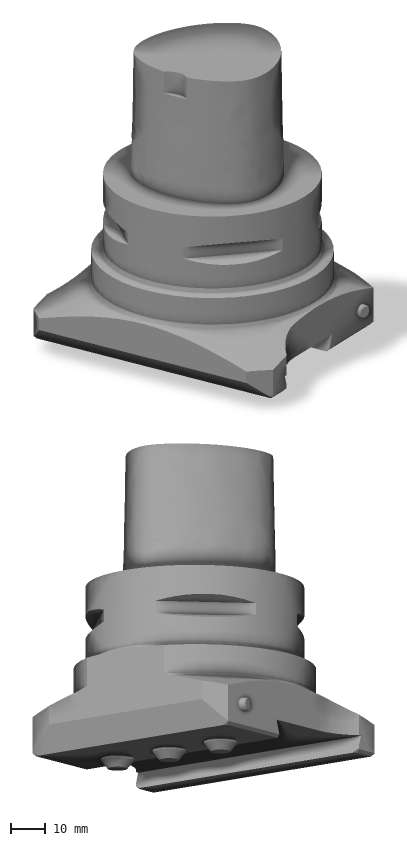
import cadquery as cq
import math

TOP_Z = 87.85
SHOULDER_Z = 49.8

BACK_Y = 31.9
FRONT_Y = -37.0
WIDE_HALF_X = 41.0
NARROW_HALF_X = 36.0
FRONT_CORNER = 5.5
BACK_CORNER_X = 7.9
BACK_CORNER_Y = 2.2
FLARE_START_Y = -12.4
FLARE_END_Y = -24.2
UNDERSIDE_CHAMFER = 0.9
FRONT_BEVEL = 5.8
BACK_BEVEL_Y = 2.45
BACK_BEVEL_Z = 8.0

BODY_R = 63.0 / 2
FLANGE_R = 34.9
LIP_R = 35.85
LIP_Z = 16.6
FLANGE_TOP_Z = 25.8
NECK_R = 32.3
NECK_Z = 26.4
NECK_HEIGHT = 0.9
CONE_OUTER_R = 59.0
CONE_ANGLE = 25.0

SHANK_BASE_R = 22.05
SHANK_TOP_R = 21.2
LOBE = 1.45
LOBE_SAMPLES = 48
NOTCH_R = 5.2
NOTCH_FLOOR_Y = -18.0
NOTCH_DEPTH = 6.7

GROOVE_COUNT = 4
GROOVE_Z = 37.9
GROOVE_FLOOR_R = 27.95
GROOVE_FLOOR_HEIGHT = 3.5
GROOVE_FLARE_ANGLE = 25.0
GROOVE_LENGTH = 40.8

SLOT_BACK_Y = 5.9
SLOT_FRONT_Y = -23.7
SLOT_DEPTH = 5.0
SLOT_UNDERCUT = 1.5

HEAD_DIAMETER = 9.5
HEAD_TIP_DIAMETER = 5.6
HEAD_HEIGHT = 90.75 - TOP_Z
HEAD_RIM = 0.5
HEAD_PITCH = 19.0
HEAD_Y = 11.9
PIN_DIAMETER = 4.0
PIN_TILT = 15.0
PIN_END_X = 38.1
PIN_END_CHAMFER = 0.4
PIN_Y = 22.6
PIN_Z = 6.8
PIN_LENGTH = 5.4

MARGIN = 4.5


def prism_along_x(points):
    """Extrude a closed (y, z) outline across the full width of the plate."""
    return cq.Workplane("YZ").polyline(points).close().extrude(WIDE_HALF_X + MARGIN, both=True)


def plate_blank():
    """Plate outline with clipped corners and concave flares towards its wide front."""
    flare_width = WIDE_HALF_X - NARROW_HALF_X
    flare_length = FLARE_START_Y - FLARE_END_Y
    flare_r = (flare_width**2 + flare_length**2) / (2 * flare_width)
    half_sweep = math.asin(flare_length / flare_r) / 2
    middle_x = NARROW_HALF_X + flare_r * (1 - math.cos(half_sweep))
    middle_y = FLARE_START_Y - flare_r * math.sin(half_sweep)
    return (
        cq.Workplane("XY")
        .moveTo(WIDE_HALF_X - FRONT_CORNER, FRONT_Y)
        .lineTo(WIDE_HALF_X, FRONT_Y + FRONT_CORNER)
        .lineTo(WIDE_HALF_X, FLARE_END_Y)
        .threePointArc((middle_x, middle_y), (NARROW_HALF_X, FLARE_START_Y))
        .lineTo(NARROW_HALF_X, BACK_Y - BACK_CORNER_Y)
        .lineTo(NARROW_HALF_X - BACK_CORNER_X, BACK_Y)
        .lineTo(-NARROW_HALF_X + BACK_CORNER_X, BACK_Y)
        .lineTo(-NARROW_HALF_X, BACK_Y - BACK_CORNER_Y)
        .lineTo(-NARROW_HALF_X, FLARE_START_Y)
        .threePointArc((-middle_x, middle_y), (-WIDE_HALF_X, FLARE_END_Y))
        .lineTo(-WIDE_HALF_X, FRONT_Y + FRONT_CORNER)
        .lineTo(-WIDE_HALF_X + FRONT_CORNER, FRONT_Y)
        .close()
        .extrude(SHOULDER_Z)
        .faces("<Z")
        .edges()
        .chamfer(UNDERSIDE_CHAMFER)
    )


def turned_profile():
    """Revolved body, flange and conical upper face of the plate."""
    cone_drop = (CONE_OUTER_R - LIP_R) * math.tan(math.radians(CONE_ANGLE))
    points = [
        (0, 0),
        (CONE_OUTER_R, 0),
        (CONE_OUTER_R, LIP_Z - cone_drop),
        (LIP_R, LIP_Z),
        (FLANGE_R, LIP_Z + LIP_R - FLANGE_R),
        (FLANGE_R, FLANGE_TOP_Z),
        (NECK_R, NECK_Z),
        (BODY_R, NECK_Z + NECK_HEIGHT),
        (BODY_R, SHOULDER_Z),
        (0, SHOULDER_Z),
    ]
    return cq.Workplane("XZ").polyline(points).close().revolve(360, (0, 0), (0, 1))


def underside_bevels():
    front = prism_along_x([
        (FRONT_Y - MARGIN, -MARGIN),
        (FRONT_Y + FRONT_BEVEL + MARGIN, -MARGIN),
        (FRONT_Y - MARGIN, FRONT_BEVEL + MARGIN),
    ])
    back = prism_along_x([
        (BACK_Y - BACK_BEVEL_Y, 0),
        (BACK_Y, BACK_BEVEL_Z),
        (BACK_Y + MARGIN, BACK_BEVEL_Z),
        (BACK_Y + MARGIN, 0),
    ])
    return front.union(back)


def dovetail_slot():
    return prism_along_x([
        (SLOT_BACK_Y, 0),
        (SLOT_BACK_Y + SLOT_UNDERCUT, SLOT_DEPTH),
        (SLOT_FRONT_Y - SLOT_UNDERCUT, SLOT_DEPTH),
        (SLOT_FRONT_Y, 0),
    ])


def grip_groove(angle):
    """Flat-floored groove with flaring walls, cut tangentially into the body."""
    outer_r = BODY_R + MARGIN
    floor_half = GROOVE_FLOOR_HEIGHT / 2
    flare = (outer_r - GROOVE_FLOOR_R) * math.tan(math.radians(GROOVE_FLARE_ANGLE))
    return (
        cq.Workplane("XZ")
        .polyline([
            (GROOVE_FLOOR_R, GROOVE_Z - floor_half),
            (outer_r, GROOVE_Z - floor_half - flare),
            (outer_r, GROOVE_Z + floor_half + flare),
            (GROOVE_FLOOR_R, GROOVE_Z + floor_half),
        ])
        .close()
        .extrude(GROOVE_LENGTH / 2, both=True)
        .rotate((0, 0, 0), (0, 0, 1), angle)
    )


def lobed_wire(mean_r, z):
    """Constant-width three-lobed curve with one lobe pointing to +Y."""
    points = []
    for i in range(LOBE_SAMPLES):
        t = 2 * math.pi * i / LOBE_SAMPLES
        x = -mean_r * math.sin(t) + LOBE * (2 * math.sin(2 * t) + math.sin(4 * t))
        y = mean_r * math.cos(t) + LOBE * (2 * math.cos(2 * t) - math.cos(4 * t))
        points.append(cq.Vector(x, y, z))
    return cq.Wire.assembleEdges([cq.Edge.makeSpline(points, periodic=True)])


def shank():
    base = lobed_wire(SHANK_BASE_R, SHOULDER_Z)
    top = lobed_wire(SHANK_TOP_R, TOP_Z)
    notch = (
        cq.Workplane("XY", origin=(0, NOTCH_FLOOR_Y - NOTCH_R, TOP_Z - NOTCH_DEPTH))
        .circle(NOTCH_R)
        .extrude(NOTCH_DEPTH)
    )
    return cq.Workplane(cq.Solid.makeLoft([base, top], True)).cut(notch)


def screw_head(x):
    """Short round rim with a conical tip below the plate."""
    rim_r = HEAD_DIAMETER / 2
    tip_r = HEAD_TIP_DIAMETER / 2
    return (
        cq.Workplane("XZ")
        .polyline([
            (0, UNDERSIDE_CHAMFER),
            (rim_r, UNDERSIDE_CHAMFER),
            (rim_r, -HEAD_RIM),
            (tip_r, -HEAD_HEIGHT),
            (0, -HEAD_HEIGHT),
        ])
        .close()
        .revolve(360, (0, 0), (0, 1))
        .translate((x, HEAD_Y, 0))
    )


def side_pin():
    """Pin leaving the +X side, tilted towards -Y."""
    tilt = math.radians(PIN_TILT)
    outward = cq.Vector(math.cos(tilt), -math.sin(tilt), 0)
    end_x = PIN_END_X - PIN_DIAMETER / 2 * math.sin(tilt)
    start = cq.Vector(end_x, PIN_Y, PIN_Z) - outward * PIN_LENGTH
    return (
        cq.Workplane(cq.Plane(origin=start, xDir=(0, 0, 1), normal=outward))
        .circle(PIN_DIAMETER / 2)
        .extrude(PIN_LENGTH)
        .faces(">X")
        .edges()
        .chamfer(PIN_END_CHAMFER)
    )


result = plate_blank().intersect(turned_profile())
result = result.cut(underside_bevels()).cut(dovetail_slot())

for index in range(GROOVE_COUNT):
    result = result.cut(grip_groove(360 / GROOVE_COUNT * (index + 0.5)))

result = result.union(shank())

for head_x in (-HEAD_PITCH, 0, HEAD_PITCH):
    result = result.union(screw_head(head_x))

pin = side_pin()
result = result.union(pin).union(pin.mirror("YZ"))